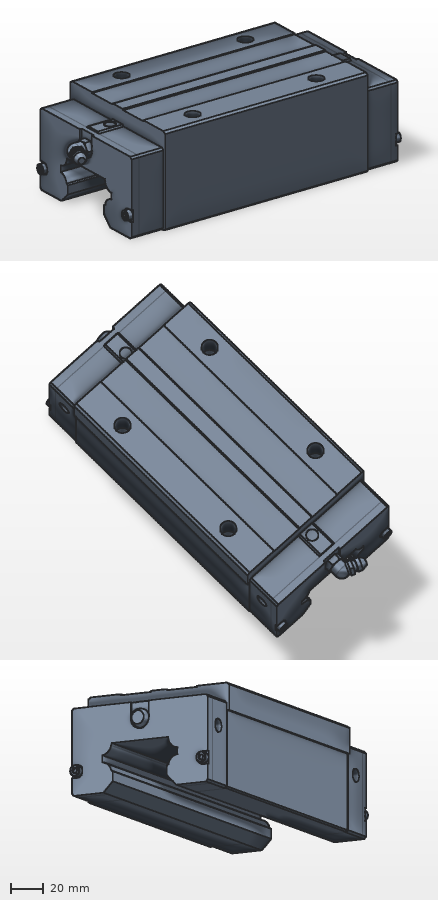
import cadquery as cq
import math

body_width = 100.0
body_length = 155.8
body_height = 67.0
edge_chamfer_across = 1.9
edge_chamfer_down = 1.4
foot_chamfer = 1.0
relief_height = 49.4
relief_depth = 1.3
top_land_inner = 27.1
top_recess_depth = 0.7
rib_top_half = 5.2

cap_half_width = 48.2
cap_height = 55.4
cap_chamfer = 1.4
overall_seal_length = 204.6
seal_thickness = 5.4
pad_height = 1.1
pad_base_half = 6.4
pad_top_half = 5.2

channel_roof = 30.9
channel_roof_half = 19.9
groove_half = 26.6
groove_axis_height = 21.55
groove_half_height = 2.25
lobe_middle = (22.2, 4.25)
lobe_end = (20.3, 7.9)
throat_half = 19.1
throat_top = 12.9
throat_bottom = 6.6
mouth_half = 25.8

mount_spacing_x = 75.0
mount_spacing_y = 95.0
mount_hole_diameter = 10.25
mount_hole_depth = 18.0
drill_point_angle = 118.0
side_port_diameter = 8.4
side_port_depth = 6.0
side_port_y = 88.8
side_port_z = 37.9
top_port_diameter = 7.7
top_port_depth = 0.5
top_port_y = 83.7

screw_x = 44.7
screw_z = 15.4
screw_head_radius = 3.4
screw_head_chamfer = 0.3
screw_projection = 2.75
screw_pocket_radius = 4.1
screw_pocket_depth = 1.2
socket_across_corners = 3.7
socket_depth = 1.5

port_z = 44.9
port_pocket_radius = 6.4
port_pocket_depth = 1.5
plug_base_radius = 6.0
plug_rim_length = 1.0
plug_dome_point = (5.6, 2.7)
plug_tip_radius = 4.3
nut_corner_radius = 6.1
nut_projection = 3.2
nut_corner_chamfer = 0.6
elbow_radius = 5.15
elbow_offset = 8.0
nozzle_angle = 22.0
hose_nut_corner_radius = 5.4
hose_nut_start = 4.5
hose_nut_end = 7.0
neck_start_radius = 4.2
neck_end_radius = 3.0
barb_start = 9.5
barb_start_radius = 4.4
barb_shoulder = 12.3
barb_shoulder_radius = 4.3
nozzle_tip = 16.0
nozzle_tip_radius = 2.2

body_half = body_width / 2
body_end = body_length / 2
seal_end = overall_seal_length / 2
seal_start = seal_end - seal_thickness
pocket_floor = seal_end - port_pocket_depth


def extrude_along_y(section, y_start, y_end):
    """Extrude a closed XZ section between two Y positions."""
    return section.extrude(y_end - y_start).translate((0, y_end, 0))


def channel_cutter():
    """Rail channel running through the full length, with a rounded lobe above and below each groove."""
    middle_x, middle_rise = lobe_middle
    end_x, end_rise = lobe_end
    half = (
        cq.Workplane("XZ")
        .moveTo(0, 0)
        .lineTo(mouth_half, 0)
        .lineTo(throat_half, throat_bottom)
        .lineTo(throat_half, throat_top)
        .lineTo(end_x, groove_axis_height - end_rise)
        .threePointArc(
            (middle_x, groove_axis_height - middle_rise),
            (groove_half, groove_axis_height - groove_half_height),
        )
        .lineTo(groove_half, groove_axis_height + groove_half_height)
        .threePointArc(
            (middle_x, groove_axis_height + middle_rise),
            (end_x, groove_axis_height + end_rise),
        )
        .lineTo(channel_roof_half, channel_roof)
        .lineTo(0, channel_roof)
        .close()
    )
    cutter = extrude_along_y(half, -seal_end, seal_end)
    return cutter.union(cutter.mirror("YZ"))


def carriage_body():
    """Main block with chamfered edges, set-back -X flank and relieved top."""
    recess_level = body_height - top_recess_depth
    rib_base_half = rib_top_half + top_recess_depth
    relief_x = -body_half + relief_depth
    section = cq.Workplane("XZ").polyline([
        (relief_x + foot_chamfer, 0),
        (body_half - foot_chamfer, 0),
        (body_half, foot_chamfer),
        (body_half, body_height - edge_chamfer_down),
        (body_half - edge_chamfer_across, body_height),
        (top_land_inner, body_height),
        (top_land_inner, recess_level),
        (rib_base_half, recess_level),
        (rib_top_half, body_height),
        (-rib_top_half, body_height),
        (-rib_base_half, recess_level),
        (-top_land_inner, recess_level),
        (-top_land_inner, body_height),
        (-body_half + edge_chamfer_across, body_height),
        (-body_half, body_height - edge_chamfer_down),
        (-body_half, relief_height),
        (relief_x, relief_height),
        (relief_x, foot_chamfer),
    ]).close()
    return extrude_along_y(section, -body_end, body_end)


def mounting_holes():
    """Four blind holes with conical drill points, opening on the top lands."""
    radius = mount_hole_diameter / 2
    floor = body_height - mount_hole_depth
    point_length = radius / math.tan(math.radians(drill_point_angle / 2))
    hole = (
        cq.Workplane("XZ")
        .polyline([
            (0, floor - point_length),
            (radius, floor),
            (radius, body_height),
            (0, body_height),
        ])
        .close()
        .revolve(360, (0, 0, 0), (0, 1, 0))
    )
    holes = cq.Workplane("XY")
    for x in (-mount_spacing_x / 2, mount_spacing_x / 2):
        for y in (-mount_spacing_y / 2, mount_spacing_y / 2):
            holes = holes.add(hole.translate((x, y, 0)))
    return holes.combine()


def cap_section():
    """Chamfered rectangle shared by the end caps and the end seals."""
    side = cap_half_width
    shoulder = cap_half_width - cap_chamfer
    return cq.Workplane("XZ").polyline([
        (-shoulder, 0),
        (shoulder, 0),
        (side, cap_chamfer),
        (side, cap_height - cap_chamfer),
        (shoulder, cap_height),
        (-shoulder, cap_height),
        (-side, cap_height - cap_chamfer),
        (-side, cap_chamfer),
    ]).close()


def end_pad():
    """Raised pad with sloping sides on top of the -Y end cap."""
    section = cq.Workplane("XZ").polyline([
        (-pad_base_half, cap_height),
        (pad_base_half, cap_height),
        (pad_top_half, cap_height + pad_height),
        (-pad_top_half, cap_height + pad_height),
    ]).close()
    return extrude_along_y(section, -seal_start, -body_end)


def cap_ports():
    """Blind ports in the -Y end cap: one in the -X side and one in the pad."""
    side_port = (
        cq.Workplane("YZ", origin=(-cap_half_width, -side_port_y, side_port_z))
        .circle(side_port_diameter / 2)
        .extrude(side_port_depth)
    )
    top_port = (
        cq.Workplane("XY", origin=(0, -top_port_y, cap_height + pad_height))
        .circle(top_port_diameter / 2)
        .extrude(-top_port_depth)
    )
    return side_port.union(top_port)


def seal_pockets():
    """Shallow pockets in the -Y seal: two open to the sides, one to the top."""
    face = cq.Workplane("XZ", origin=(0, -seal_end, 0))
    reach = cap_half_width - screw_x
    pockets = (
        face.center(0, port_z)
        .circle(port_pocket_radius)
        .extrude(-port_pocket_depth)
    )
    slot_height = cap_height - port_z
    slot = (
        face.center(0, port_z + slot_height / 2)
        .rect(2 * port_pocket_radius, slot_height)
        .extrude(-port_pocket_depth)
    )
    pockets = pockets.union(slot)
    for side in (-1, 1):
        round_end = (
            face.center(side * screw_x, screw_z)
            .circle(screw_pocket_radius)
            .extrude(-screw_pocket_depth)
        )
        opening = (
            face.center(side * (screw_x + reach / 2), screw_z)
            .rect(reach, 2 * screw_pocket_radius)
            .extrude(-screw_pocket_depth)
        )
        pockets = pockets.union(round_end).union(opening)
    return pockets


def seal_screws():
    """Socket-head screws seated in the side pockets of the -Y seal."""
    screws = cq.Workplane("XZ")
    for side in (-1, 1):
        seat = (side * screw_x, -seal_end + screw_pocket_depth, screw_z)
        head = (
            cq.Workplane("XZ", origin=seat)
            .circle(screw_head_radius)
            .extrude(screw_pocket_depth + screw_projection)
            .faces("<Y")
            .chamfer(screw_head_chamfer)
        )
        socket = (
            cq.Workplane("XZ", origin=(side * screw_x, -seal_end - screw_projection, screw_z))
            .polygon(6, socket_across_corners)
            .extrude(-socket_depth)
        )
        screws = screws.add(head.cut(socket))
    return screws.combine()


def end_assembly():
    """End cap, end seal and screws of the -Y end."""
    cap = extrude_along_y(cap_section(), -seal_start, -body_end).union(end_pad())
    seal = extrude_along_y(cap_section(), -seal_end, -seal_start)
    cap = cap.cut(cap_ports())
    seal = seal.cut(seal_pockets()).union(seal_screws())
    return cap.union(seal, clean=False)


def plug():
    """Domed plug closing the lubrication port of the +Y end."""
    tip = port_pocket_depth + screw_projection
    profile = (
        cq.Workplane("XY")
        .lineTo(plug_base_radius, 0)
        .lineTo(plug_base_radius, plug_rim_length)
        .threePointArc(plug_dome_point, (plug_tip_radius, tip))
        .lineTo(0, tip)
        .close()
    )
    return profile.revolve(360, (0, 0, 0), (0, 1, 0)).translate((0, pocket_floor, port_z))


def port_nut():
    """Hexagon nut seated in the lubrication pocket, outer corners bevelled."""
    length = port_pocket_depth + nut_projection
    seat = (0, -pocket_floor, port_z)
    nut = cq.Workplane("XZ", origin=seat).polygon(6, 2 * nut_corner_radius).extrude(length)
    bevel = (
        cq.Workplane("XZ", origin=seat)
        .circle(nut_corner_radius)
        .extrude(length)
        .faces("<Y")
        .chamfer(nut_corner_chamfer)
    )
    return nut.intersect(bevel)


def nozzle():
    """Barbed hose nozzle with its hexagon, along +X from the elbow centre."""
    stem = (
        cq.Workplane("XY")
        .polyline([
            (0, 0),
            (0, neck_start_radius),
            (hose_nut_end, neck_start_radius),
            (barb_start, neck_end_radius),
            (barb_start, barb_start_radius),
            (barb_shoulder, barb_shoulder_radius),
            (nozzle_tip, nozzle_tip_radius),
            (nozzle_tip, 0),
        ])
        .close()
        .revolve(360, (0, 0, 0), (1, 0, 0))
    )
    hexagon = (
        cq.Workplane("YZ", origin=(hose_nut_start, 0, 0))
        .polygon(6, 2 * hose_nut_corner_radius)
        .extrude(hose_nut_end - hose_nut_start)
    )
    return stem.union(hexagon)


def hose_fitting():
    """Angled fitting on the -Y end: nut, round elbow and barbed nozzle."""
    centre = (0, -seal_end - elbow_offset, port_z)
    shank = (
        cq.Workplane("XZ", origin=centre)
        .circle(elbow_radius)
        .extrude(-elbow_offset)
    )
    ball = cq.Workplane("XY").sphere(elbow_radius).translate(centre)
    turned_nozzle = nozzle().rotate((0, 0, 0), (0, 0, 1), -nozzle_angle).translate(centre)
    return port_nut().union(shank).union(ball).union(turned_nozzle)


front_end = end_assembly()
rear_end = front_end.mirror("XZ")
block = carriage_body().cut(mounting_holes())
block = block.union(front_end, clean=False).union(rear_end, clean=False)
block = block.cut(channel_cutter(), clean=False)
result = block.union(plug(), clean=False).union(hose_fitting(), clean=False)